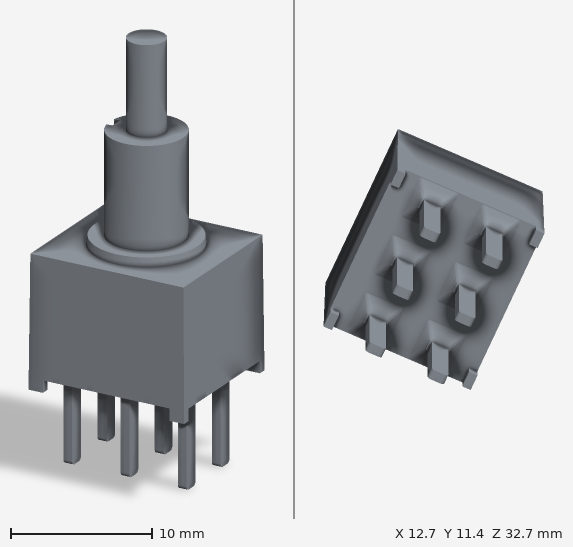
import cadquery as cq

total_height = 32.65
foot_z = 6.37
floor_z = 7.3
housing_top_z = 16.8
flange_top_z = 17.5
bushing_top_z = 25.57

housing_length = 12.7
housing_width = 11.43
housing_taper = 0.1
foot_gap_length = 10.35
foot_gap_width = 10.12

flange_base_diameter = 8.55
flange_top_diameter = 8.35
bushing_diameter = 6.0
keyway_width = 1.08
keyway_depth = 0.52
plunger_diameter = 2.95

pin_columns = 3
pin_rows = 2
column_spacing = 4.67
row_spacing = 4.85
pin_thickness = 0.72
pin_width = 1.27
pin_tip_radius = 0.33
shoulder_width = 1.6
shoulder_z = 6.7
collar_tip_z = 6.75
collar_base_length = 3.2
collar_base_width = 2.95
collar_tip_length = pin_thickness
collar_tip_width = 1.45
collar_sag = 0.05
collar_corner_radius = 0.33


def make_housing():
    body = (
        cq.Workplane("XY", origin=(0, 0, foot_z))
        .rect(housing_length, housing_width)
        .workplane(offset=housing_top_z - foot_z)
        .rect(housing_length - 2 * housing_taper, housing_width - 2 * housing_taper)
        .loft(ruled=True)
    )
    foot_height = floor_z - foot_z
    for channel_x, channel_y in ((foot_gap_length, housing_width), (housing_length, foot_gap_width)):
        channel = cq.Workplane("XY", origin=(0, 0, foot_z)).box(
            channel_x, channel_y, foot_height, centered=(True, True, False)
        )
        body = body.cut(channel)
    return body


def make_flange():
    return (
        cq.Workplane("XY", origin=(0, 0, housing_top_z))
        .circle(flange_base_diameter / 2)
        .workplane(offset=flange_top_z - housing_top_z)
        .circle(flange_top_diameter / 2)
        .loft()
    )


def make_bushing():
    bushing_height = bushing_top_z - flange_top_z
    base = cq.Workplane("XY", origin=(0, 0, flange_top_z))
    bushing = base.circle(bushing_diameter / 2).extrude(bushing_height)
    keyway = base.center(-bushing_diameter / 2, 0).rect(2 * keyway_depth, keyway_width).extrude(bushing_height)
    return bushing.cut(keyway)


def make_plunger():
    return (
        cq.Workplane("XY", origin=(0, 0, bushing_top_z))
        .circle(plunger_diameter / 2)
        .extrude(total_height - bushing_top_z)
    )


def collar_wedge(plane, base_size, tip_size, depth):
    """Ridge with two hollow flanks, drawn on an upright plane and extruded across it."""
    return (
        cq.Workplane(plane)
        .moveTo(-base_size / 2, floor_z)
        .lineTo(base_size / 2, floor_z)
        .sagittaArc((tip_size / 2, collar_tip_z), -collar_sag)
        .lineTo(-tip_size / 2, collar_tip_z)
        .sagittaArc((-base_size / 2, floor_z), -collar_sag)
        .close()
        .extrude(depth / 2, both=True)
    )


def make_pin():
    blade = (
        cq.Workplane("XY")
        .box(pin_thickness, pin_width, floor_z, centered=(True, True, False))
        .faces("<Z")
        .edges("|X")
        .fillet(pin_tip_radius)
    )
    shoulder = cq.Workplane("XY", origin=(0, 0, shoulder_z)).box(
        pin_thickness, shoulder_width, floor_z - shoulder_z, centered=(True, True, False)
    )
    collar = collar_wedge("XZ", collar_base_length, collar_tip_length, collar_base_width).intersect(
        collar_wedge("YZ", collar_base_width, collar_tip_width, collar_base_length)
    )
    collar = collar.edges("not(#Z)").fillet(collar_corner_radius)
    return blade.union(shoulder).union(collar)


result = make_housing().union(make_flange()).union(make_bushing()).union(make_plunger())

pin = make_pin()
for column in range(pin_columns):
    for row in range(pin_rows):
        pin_x = (column - (pin_columns - 1) / 2) * column_spacing
        pin_y = (row - (pin_rows - 1) / 2) * row_spacing
        result = result.union(pin.translate((pin_x, pin_y, 0)))